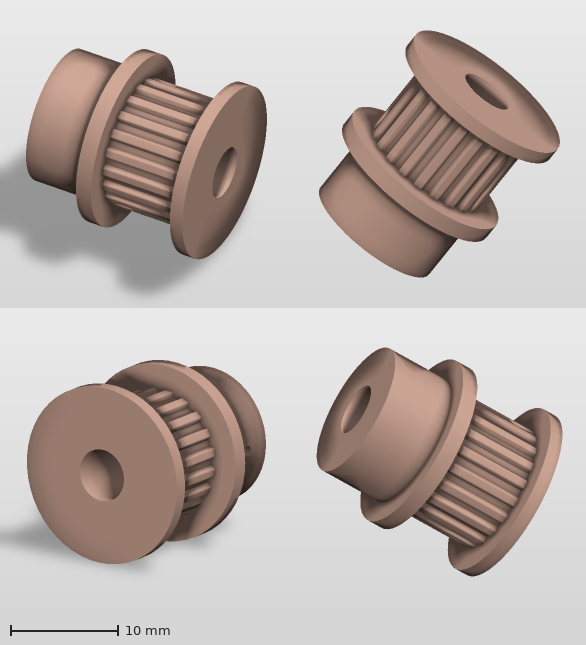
import cadquery as cq
import math

total_length = 17.5
hub_length = 6.3
hub_flange_width = 1.6
end_flange_width = 1.33
belt_width = total_length - hub_length - hub_flange_width - end_flange_width

flange_diameter = 17.0
hub_diameter = 12.98
bore_diameter = 4.99

tooth_count = 20
tip_radius = 6.21
root_radius = 5.69
tooth_tip_width = 0.8
tooth_root_width = 1.15
tooth_corner_radius = 0.18
tooth_overlap = 0.18

screw_hole_diameter = 1.0
screw_hole_x = 3.0


def disc(start, length, diameter):
    """Solid cylinder on the X axis beginning at the given X."""
    return cq.Workplane("YZ", origin=(start, 0, 0)).circle(diameter / 2).extrude(length)


def toothed_barrel(start, length):
    """Root cylinder carrying evenly spaced tapered teeth with rounded tips."""
    barrel = disc(start, length, 2 * root_radius)
    half_root = tooth_root_width / 2
    half_tip = tooth_tip_width / 2
    root_corner = math.sqrt(root_radius**2 - half_root**2)
    tip_corner = math.sqrt(tip_radius**2 - half_tip**2)
    buried_radius = root_corner - tooth_overlap
    tip_edges = cq.selectors.BoxSelector(
        (start, root_radius, -half_root),
        (start + length, tip_radius, half_root),
    )
    tooth = (
        cq.Workplane("YZ", origin=(start, 0, 0))
        .moveTo(buried_radius, -half_root)
        .lineTo(root_corner, -half_root)
        .lineTo(tip_corner, -half_tip)
        .threePointArc((tip_radius, 0), (tip_corner, half_tip))
        .lineTo(root_corner, half_root)
        .lineTo(buried_radius, half_root)
        .close()
        .extrude(length)
        .edges("|X")
        .edges(tip_edges)
        .fillet(tooth_corner_radius)
    )
    for index in range(tooth_count):
        angle = (index + 0.5) * 360 / tooth_count
        barrel = barrel.union(tooth.rotate((0, 0, 0), (1, 0, 0), angle))
    return barrel


def screw_hole():
    """Radial cutter from the axis out through the +Y side of the hub."""
    return (
        cq.Workplane("XZ", origin=(screw_hole_x, 0, 0))
        .circle(screw_hole_diameter / 2)
        .extrude(-hub_diameter / 2)
    )


hub_flange_start = hub_length
belt_start = hub_flange_start + hub_flange_width
end_flange_start = belt_start + belt_width

result = (
    disc(0, hub_length, hub_diameter)
    .union(disc(hub_flange_start, hub_flange_width, flange_diameter))
    .union(toothed_barrel(belt_start, belt_width))
    .union(disc(end_flange_start, end_flange_width, flange_diameter))
    .cut(disc(0, total_length, bore_diameter))
    .cut(screw_hole())
)